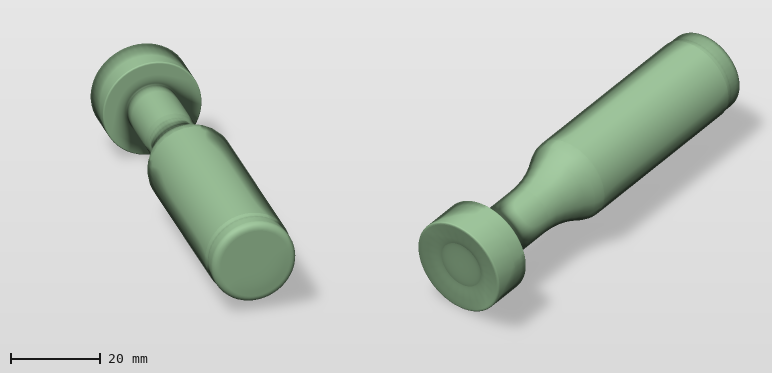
import cadquery as cq
import math


total_length = 90.0
cap_length = 6.0
flange_back = 10.0
flare_start = 25.0
taper_start = 84.6
taper_end = 85.9

head_radius = 23.0 / 2
neck_radius = 12.0 / 2
shank_radius = 20.0 / 2
tip_radius = 19.5 / 2

head_edge_round = 0.4
neck_root_round = 0.4
tip_round = 1.6
flare_hollow_radius = 25.0
flare_shoulder_radius = 5.0

dish_depth = 1.1
dish_rim_radius = 22.0 / 2
dish_floor_radius = 5.6


def revolve_about_x(profile):
    """Turn a closed profile (X, radius) a full circle about the X axis."""
    return profile.revolve(360, (0, 0, 0), (1, 0, 0))


def make_cap():
    """Face disc with a rounded rim and a shallow conical dish."""
    disc = cq.Workplane("YZ").circle(head_radius).extrude(cap_length)
    disc = disc.faces("<X").edges().fillet(head_edge_round)
    dish = revolve_about_x(
        cq.Workplane("XY")
        .moveTo(0, 0)
        .lineTo(0, dish_rim_radius)
        .lineTo(dish_depth, dish_floor_radius)
        .lineTo(dish_depth, 0)
        .close()
    )
    return disc.cut(dish)


def make_handle():
    """Flange, neck, flared shoulder, shank and tapered tip in one turned piece."""
    flare_rise = shank_radius - neck_radius
    radius_sum = flare_hollow_radius + flare_shoulder_radius
    flare_angle = math.acos(1 - flare_rise / radius_sum)
    flare_end = flare_start + radius_sum * math.sin(flare_angle)
    join_x = flare_start + flare_hollow_radius * math.sin(flare_angle)
    join_radius = neck_radius + flare_hollow_radius * (1 - math.cos(flare_angle))

    profile = (
        cq.Workplane("XY")
        .moveTo(cap_length, 0)
        .lineTo(cap_length, head_radius)
        .lineTo(flange_back - head_edge_round, head_radius)
        .radiusArc((flange_back, head_radius - head_edge_round), head_edge_round)
        .lineTo(flange_back, neck_radius + neck_root_round)
        .radiusArc((flange_back + neck_root_round, neck_radius), -neck_root_round)
        .lineTo(flare_start, neck_radius)
        .radiusArc((join_x, join_radius), -flare_hollow_radius)
        .radiusArc((flare_end, shank_radius), flare_shoulder_radius)
        .lineTo(taper_start, shank_radius)
        .lineTo(taper_end, tip_radius)
        .lineTo(total_length - tip_round, tip_radius)
        .radiusArc((total_length, tip_radius - tip_round), tip_round)
        .lineTo(total_length, 0)
        .close()
    )
    return revolve_about_x(profile)


cap = make_cap()
handle = make_handle()

result = cq.Compound.makeCompound([cap.val(), handle.val()])